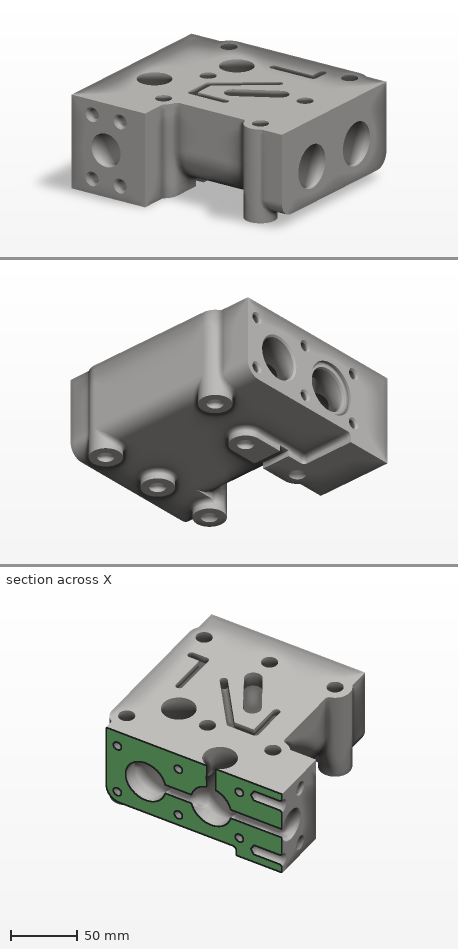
import cadquery as cq
import math

LENGTH = 178.0
HEIGHT = 76.0
BODY_BOTTOM = 8.0
BLEND = 3.0
OVERRUN = 5.0

SMOOTH_LIMIT = 0.05
PROBE_RISE = 0.02
PROBE_REACH = 0.3

BOSS_RADIUS = 13.0
BOLT_HOLE_DIAMETER = 13.0
BOLT_PITCH_Y = 58.0
MIDDLE_ROW_Y = 92.0
FRONT_ROW_Y = MIDDLE_ROW_Y - BOLT_PITCH_Y
BACK_ROW_Y = MIDDLE_ROW_Y + BOLT_PITCH_Y
INNER_BOLT_X = 61.0
BACK_LEFT_BOLT_X = 39.0
RIGHT_BOLT_X = 151.0
BOLT_CENTRES = [
    (INNER_BOLT_X, FRONT_ROW_Y),
    (INNER_BOLT_X, MIDDLE_ROW_Y),
    (BACK_LEFT_BOLT_X, BACK_ROW_Y),
    (RIGHT_BOLT_X, FRONT_ROW_Y),
    (RIGHT_BOLT_X, MIDDLE_ROW_Y),
    (RIGHT_BOLT_X, BACK_ROW_Y),
]

BORE_Z = HEIGHT / 2
FRONT_BORE_Y = 63.0
BACK_BORE_Y = FRONT_BORE_Y + BOLT_PITCH_Y
BORE_RADIUS = 17.6
BACK_BORE_MOUTH_RADIUS = 19.1
BACK_BORE_CHAMFER_LENGTH = 1.5
COUNTERBORE_RADIUS = 22.2
COUNTERBORE_DEPTH = 3.0
FRONT_BORE_STEP_RADIUS = 18.3
FRONT_BORE_CHAMFER_LENGTH = 2.0

BARREL_RADIUS = BORE_Z - BODY_BOTTOM
BARREL_FRONT_Y = FRONT_BORE_Y - BARREL_RADIUS
BACK_Y = BACK_ROW_Y + BOSS_RADIUS
LEFT_BACK_Y = 156.0
RIGHT_FRONT_Y = 24.0
RIGHT_BACK_Y = 160.0
LOWER_EDGE_RADIUS = 12.0

WEB_LEFT_X = 140.0

PORT_BLOCK_LENGTH = 68.2
PORT_BLOCK_BACK_Y = 41.0

PORT_DIAMETER = 27.0
FRONT_PORT_X = 32.0
TOP_PORT_CENTRES = [(FRONT_PORT_X, FRONT_BORE_Y), (67.0, BACK_BORE_Y)]

NARROW_SLOT_WIDTH = 6.2
NARROW_SLOT_DEPTH = 6.0
WIDE_SLOT_WIDTH = 14.2
WIDE_SLOT_DEPTH = 12.5
BACK_SLOT_PATH = [(91.0, 135.2), (127.8, 135.2), (127.8, 147.0)]
ANGLED_SLOT_PATH = [(114.0, 110.0), (71.7, 78.0), (71.7, 56.2), (102.2, 56.2)]
WIDE_SLOT_PATH = [(97.0, 74.2), (127.8, 92.2)]

PAD_GROOVE_WIDTH = 9.8
PAD_GROOVE_DEPTH = 5.2

DRILL_TIP_ANGLE = 118.0
SIDE_SCREW_DIAMETER = 6.8
SIDE_SCREW_MOUTH_DIAMETER = 10.0
SIDE_SCREW_DEPTH = 20.0
SIDE_SCREW_PITCH_Y = 54.0
SIDE_SCREW_PITCH_Z = 44.0
SIDE_SCREW_CENTRE_Z = 40.0
FRONT_SCREW_DIAMETER = 8.5
FRONT_SCREW_MOUTH_DIAMETER = 11.8
FRONT_SCREW_DEPTH = 25.0
FRONT_SCREW_PITCH_X = 26.0
FRONT_SCREW_PITCH_Z = 52.0


def block(x_range, y_range, z_range):
    """Box between two limits on each axis."""
    low, high = zip(x_range, y_range, z_range)
    size = [end - start for start, end in zip(low, high)]
    return cq.Workplane("XY").box(*size, centered=False).translate(low)


def cylinder(start, direction, radius, length):
    return cq.Workplane(cq.Solid.makeCylinder(radius, length, cq.Vector(*start), cq.Vector(*direction)))


def cone(start, direction, start_radius, end_radius, length):
    return cq.Workplane(
        cq.Solid.makeCone(start_radius, end_radius, length, cq.Vector(*start), cq.Vector(*direction))
    )


def make_body():
    """Flanges, barrel, port block, pad and web joined to the bolt bosses, with sharp inside corners."""
    body_levels = (BODY_BOTTOM, HEIGHT)

    barrel = block((BACK_LEFT_BOLT_X, RIGHT_BOLT_X), (BARREL_FRONT_Y, BACK_Y), body_levels)
    barrel = barrel.edges("|X and <Z and <Y").fillet(BARREL_RADIUS)
    barrel = barrel.edges("|X and <Z and >Y").fillet(LOWER_EDGE_RADIUS)

    left_flange = block((0, BACK_LEFT_BOLT_X), (FRONT_BORE_Y, LEFT_BACK_Y), body_levels)
    left_flange = left_flange.edges("|X and <Z and >Y").fillet(LOWER_EDGE_RADIUS)

    right_flange = block((RIGHT_BOLT_X, LENGTH), (RIGHT_FRONT_Y, RIGHT_BACK_Y), body_levels)
    right_flange = right_flange.edges("|X and <Z").fillet(LOWER_EDGE_RADIUS)

    port_block = block((0, PORT_BLOCK_LENGTH), (0, PORT_BLOCK_BACK_Y), (0, HEIGHT))
    port_block_neck = block((0, INNER_BOLT_X), (PORT_BLOCK_BACK_Y, FRONT_BORE_Y), body_levels)

    pad_sides = (INNER_BOLT_X - BOSS_RADIUS, INNER_BOLT_X + BOSS_RADIUS)
    pad = block(pad_sides, (FRONT_ROW_Y, MIDDLE_ROW_Y), (0, BORE_Z))
    web = block((WEB_LEFT_X, RIGHT_BOLT_X), (FRONT_ROW_Y, FRONT_BORE_Y), (BODY_BOTTOM, BORE_Z))

    body = barrel
    for piece in (left_flange, right_flange, port_block_neck, port_block, pad, web):
        body = body.union(piece)
    for x, y in BOLT_CENTRES:
        body = body.union(cylinder((x, y, 0), (0, 0, 1), BOSS_RADIUS, HEIGHT))
    return body.clean()


def is_inside_corner(edge, solid):
    """True where two faces meet at a concave angle."""
    faces = [face for face in solid.Faces() if any(edge.isSame(other) for other in face.Edges())]
    if len(faces) != 2:
        return False
    middle = edge.positionAt(0.5)
    first, second = [face.normalAt(middle) for face in faces]
    if first.cross(second).Length < SMOOTH_LIMIT:
        return False
    outward = (first + second).normalized() * PROBE_RISE
    sideways = (first - second).normalized() * PROBE_REACH
    return solid.isInside(middle + outward + sideways) and solid.isInside(middle + outward - sideways)


def blend_inside_corners(body):
    """Fillet every inside corner except the long edge where the web runs out into the barrel."""
    solid = body.solids().val()
    corners = []
    for edge in solid.Edges():
        box = edge.BoundingBox()
        in_web_face = abs(box.center.x - WEB_LEFT_X) + box.xlen < PROBE_REACH
        along_barrel = in_web_face and box.ylen > PROBE_REACH
        if is_inside_corner(edge, solid) and not along_barrel:
            corners.append(edge)
    return cq.Workplane(solid.fillet(BLEND, corners))


def cut_pad_groove(body):
    half_width = PAD_GROOVE_WIDTH / 2
    groove = block(
        (INNER_BOLT_X - BOSS_RADIUS - OVERRUN, INNER_BOLT_X + BOSS_RADIUS + OVERRUN),
        (FRONT_BORE_Y - half_width, FRONT_BORE_Y + half_width),
        (0, PAD_GROOVE_DEPTH),
    )
    return body.cut(groove)


def cut_bolt_holes(body):
    for x, y in BOLT_CENTRES:
        body = body.cut(cylinder((x, y, 0), (0, 0, 1), BOLT_HOLE_DIAMETER / 2, HEIGHT))
    return body


def cut_bores(body):
    along_x = (1, 0, 0)
    for y in (FRONT_BORE_Y, BACK_BORE_Y):
        body = body.cut(cylinder((0, y, BORE_Z), along_x, BORE_RADIUS, LENGTH))
    back_mouth = cone(
        (0, BACK_BORE_Y, BORE_Z), along_x, BACK_BORE_MOUTH_RADIUS, BORE_RADIUS, BACK_BORE_CHAMFER_LENGTH
    )
    counterbore = cylinder((0, FRONT_BORE_Y, BORE_Z), along_x, COUNTERBORE_RADIUS, COUNTERBORE_DEPTH)
    front_mouth = cone(
        (COUNTERBORE_DEPTH, FRONT_BORE_Y, BORE_Z),
        along_x,
        FRONT_BORE_STEP_RADIUS,
        BORE_RADIUS,
        FRONT_BORE_CHAMFER_LENGTH,
    )
    return body.cut(back_mouth).cut(counterbore).cut(front_mouth)


def cut_ports(body):
    """One front port through the front bore and two top ports, each ending on a bore axis."""
    radius = PORT_DIAMETER / 2
    body = body.cut(cylinder((FRONT_PORT_X, 0, BORE_Z), (0, 1, 0), radius, BACK_BORE_Y))
    for x, y in TOP_PORT_CENTRES:
        body = body.cut(cylinder((x, y, BORE_Z), (0, 0, 1), radius, HEIGHT - BORE_Z))
    return body


def cut_slot(body, path, width, depth):
    """Round-ended slot along a path in the top face, with a drilling from its first point to a bore."""
    floor_z = HEIGHT - depth
    slot = cylinder((*path[0], BORE_Z), (0, 0, 1), width / 2, HEIGHT - BORE_Z)

    for (x1, y1), (x2, y2) in zip(path, path[1:]):
        run = math.hypot(x2 - x1, y2 - y1)
        angle = math.degrees(math.atan2(y2 - y1, x2 - x1))
        leg = cq.Workplane("XY").slot2D(run + width, width).extrude(depth)
        leg = leg.rotate((0, 0, 0), (0, 0, 1), angle)
        slot = slot.union(leg.translate(((x1 + x2) / 2, (y1 + y2) / 2, floor_z)))
    return body.cut(slot.clean())


def cut_screw_hole(body, start, direction, diameter, mouth_diameter, depth):
    """Blind hole with a 45 degree countersink and a conical drill tip."""
    radius = diameter / 2
    mouth_radius = mouth_diameter / 2
    tip_length = radius / math.tan(math.radians(DRILL_TIP_ANGLE / 2))
    tip_start = (cq.Vector(*start) + cq.Vector(*direction) * depth).toTuple()
    body = body.cut(cylinder(start, direction, radius, depth))
    body = body.cut(cone(tip_start, direction, radius, 0, tip_length))
    return body.cut(cone(start, direction, mouth_radius, radius, mouth_radius - radius))


def cut_side_screw_holes(body):
    for row in (-1, 0, 1):
        for level in (-0.5, 0.5):
            y = MIDDLE_ROW_Y + row * SIDE_SCREW_PITCH_Y
            z = SIDE_SCREW_CENTRE_Z + level * SIDE_SCREW_PITCH_Z
            body = cut_screw_hole(
                body, (0, y, z), (1, 0, 0), SIDE_SCREW_DIAMETER, SIDE_SCREW_MOUTH_DIAMETER, SIDE_SCREW_DEPTH
            )
    return body


def cut_front_screw_holes(body):
    for column in (-0.5, 0.5):
        for level in (-0.5, 0.5):
            x = FRONT_PORT_X + column * FRONT_SCREW_PITCH_X
            z = BORE_Z + level * FRONT_SCREW_PITCH_Z
            body = cut_screw_hole(
                body,
                (x, 0, z),
                (0, 1, 0),
                FRONT_SCREW_DIAMETER,
                FRONT_SCREW_MOUTH_DIAMETER,
                FRONT_SCREW_DEPTH,
            )
    return body


result = blend_inside_corners(make_body())
result = cut_pad_groove(result)
result = cut_bolt_holes(result)
result = cut_bores(result)
result = cut_ports(result)
result = cut_slot(result, BACK_SLOT_PATH, NARROW_SLOT_WIDTH, NARROW_SLOT_DEPTH)
result = cut_slot(result, ANGLED_SLOT_PATH, NARROW_SLOT_WIDTH, NARROW_SLOT_DEPTH)
result = cut_slot(result, WIDE_SLOT_PATH, WIDE_SLOT_WIDTH, WIDE_SLOT_DEPTH)
result = cut_side_screw_holes(result)
result = cut_front_screw_holes(result)